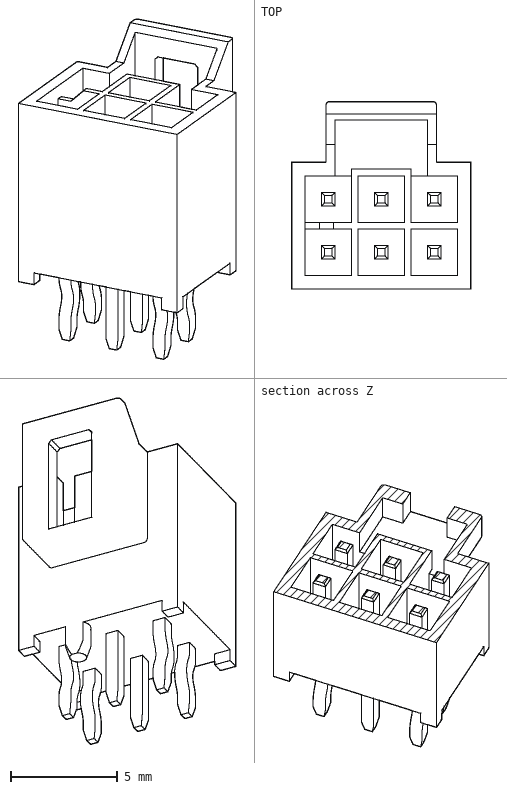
import cadquery as cq
import math


pitch = 2.5
columns = 3
rows = 2
cell_size = 2.18
cell_wall = pitch - cell_size
side_wall = 0.63
end_wall = 0.65

body_width = (columns - 1) * pitch + cell_size + 2 * side_wall
body_depth = (rows - 1) * pitch + cell_size + 2 * end_wall
standoff = 0.6
body_height = 8.46
body_top = standoff + body_height
body_back = body_depth / 2
cell_floor_thickness = 1.0
cell_floor = standoff + cell_floor_thickness
foot_width = 0.82
foot_depth = 0.6

latch_width = 5.22
latch_depth = 2.86
latch_rise = 1.45
latch_top = body_top + latch_rise
latch_clearance = 3.48
latch_bottom = standoff + latch_clearance
latch_lip = 0.58
latch_edge_radius = 0.18
latch_back = body_back + latch_depth
recess_width = 4.36
latch_back_wall = 0.88
recess_floor_thickness = 0.2
recess_floor = latch_bottom + recess_floor_thickness
recess_back = latch_back - latch_back_wall
window_width = 2.28
window_rise = 0.12
window_top = body_top + window_rise
window_corner = 0.15

notch_floor_length = 0.67
notch_slope_length = 0.66
notch_depth = 0.66

pin_size = 0.64
pin_rise = 5.0
pin_top = standoff + pin_rise
pin_bottom = -3.2
upper_tip_size = 0.34
upper_tip_height = 0.2
lower_tip_size = 0.4
lower_tip_height = 0.55
kink_radius = 1.21
kink_offset = 0.29
kink_drop = 1.7
kink_middle = standoff - kink_drop

peg_x = pitch / 2
peg_diameter = 1.2
peg_tip_diameter = 0.8
peg_inset = 0.38
peg_y = body_back - peg_inset
peg_shank_length = 0.99
peg_length = 1.63
peg_shoulder = standoff - peg_shank_length
peg_bottom = standoff - peg_length


def block(x_min, x_max, y_min, y_max, z_min, z_max):
    """Axis-aligned box given by its limits."""
    return cq.Workplane("XY").box(
        x_max - x_min, y_max - y_min, z_max - z_min, centered=False
    ).translate((x_min, y_min, z_min))


def grid_positions():
    """Contact centres as (x, y)."""
    return [
        ((column - (columns - 1) / 2) * pitch, (row - (rows - 1) / 2) * pitch)
        for column in range(columns)
        for row in range(rows)
    ]


def make_housing():
    """Plain block on four corner feet."""
    half_width = body_width / 2
    half_depth = body_depth / 2
    housing = block(-half_width, half_width, -half_depth, half_depth, standoff, body_top)
    feet = (
        cq.Workplane("XY")
        .rect(body_width - foot_width, body_depth - foot_depth, forConstruction=True)
        .vertices()
        .rect(foot_width, foot_depth)
        .extrude(standoff)
    )
    return housing.union(feet)


def make_latch():
    """Solid latch shroud with a raised, sloped top and rounded outer edges."""
    slope_start = latch_back - latch_lip
    side_outline = [
        (0, latch_bottom),
        (latch_back, latch_bottom),
        (latch_back, latch_top),
        (slope_start, latch_top),
        (slope_start - latch_rise, body_top),
        (0, body_top),
    ]
    shroud = cq.Workplane("YZ").polyline(side_outline).close().extrude(latch_width / 2, both=True)
    shroud = shroud.edges("|Z and >Y").fillet(latch_edge_radius)
    return shroud.faces("<Z").edges("not <Y").fillet(latch_edge_radius)


def make_recess():
    """Space behind the contact cells, left around the middle cell's own walls."""
    cell_back = body_back - end_wall
    recess = block(
        -recess_width / 2, recess_width / 2, cell_back, recess_back, recess_floor, latch_top
    )
    middle_half = cell_size / 2 + cell_wall
    middle_cell = block(
        -middle_half, middle_half, 0, cell_back + cell_wall, recess_floor, body_top
    )
    return recess.cut(middle_cell)


def make_window():
    """Opening through the back wall of the latch, with bevelled top corners."""
    window = block(
        -window_width / 2, window_width / 2, recess_back, latch_back, recess_floor, window_top
    )
    return window.edges("|Y and >Z").chamfer(window_corner)


def make_cells():
    """Contact cells, open at the top."""
    return (
        cq.Workplane("XY", origin=(0, 0, cell_floor))
        .pushPoints(grid_positions())
        .rect(cell_size, cell_size)
        .extrude(body_top - cell_floor)
    )


def make_notch():
    """Cut that lowers the wall between the left-hand cells, with a sloped end."""
    wall_start = side_wall - body_width / 2
    floor_end = wall_start + notch_floor_length
    outline = [
        (wall_start, body_top),
        (wall_start, body_top - notch_depth),
        (floor_end, body_top - notch_depth),
        (floor_end + notch_slope_length, body_top),
    ]
    return cq.Workplane("XZ").polyline(outline).close().extrude(cell_wall / 2, both=True)


def make_tip(size, tip_size, height):
    """Square taper of the given height, standing on the XY plane."""
    return (
        cq.Workplane("XY")
        .rect(size, size)
        .workplane(offset=height)
        .rect(tip_size, tip_size)
        .loft(combine=True)
    )


def make_kinked_shank(z_min, z_max):
    """Shank that bows towards +Y through three tangent arcs of equal centreline radius."""
    half_pin = pin_size / 2
    angle = math.acos(1 - kink_offset / (2 * kink_radius))
    half_length = 2 * kink_radius * math.sin(angle)
    peak_centre_y = kink_offset - kink_radius

    def end_arc(side, end, turn):
        radius = kink_radius - side
        y = kink_radius - radius * math.cos(turn)
        return (y, kink_middle + end * (half_length - radius * math.sin(turn)))

    def peak_arc(side, end, turn):
        radius = kink_radius + side
        y = peak_centre_y + radius * math.cos(turn)
        return (y, kink_middle + end * radius * math.sin(turn))

    def add_side(outline, side, end):
        """Trace one face of the bow from the given end (+1 top, -1 bottom) to the other."""
        return (
            outline.lineTo(*end_arc(side, end, 0))
            .threePointArc(end_arc(side, end, angle / 2), end_arc(side, end, angle))
            .threePointArc(peak_arc(side, end, 0), peak_arc(side, -end, angle))
            .threePointArc(end_arc(side, -end, angle / 2), end_arc(side, -end, 0))
        )

    outline = cq.Workplane("YZ").moveTo(-half_pin, z_max)
    outline = add_side(outline, -half_pin, 1)
    outline = outline.lineTo(-half_pin, z_min).lineTo(half_pin, z_min)
    outline = add_side(outline, half_pin, -1)
    outline = outline.lineTo(half_pin, z_max).close()
    return outline.extrude(half_pin, both=True)


def make_pin(kinked):
    """Contact pin on the Z axis, tapered at both ends."""
    half_pin = pin_size / 2
    shank_top = pin_top - upper_tip_height
    shank_bottom = pin_bottom + lower_tip_height
    if kinked:
        shank = make_kinked_shank(shank_bottom, shank_top)
    else:
        shank = block(-half_pin, half_pin, -half_pin, half_pin, shank_bottom, shank_top)
    upper_tip = make_tip(pin_size, upper_tip_size, upper_tip_height)
    lower_tip = make_tip(pin_size, lower_tip_size, lower_tip_height).mirror("XY")
    return shank.union(upper_tip.translate((0, 0, shank_top))).union(
        lower_tip.translate((0, 0, shank_bottom))
    )


def make_peg():
    """Round locating peg with a tapered end."""
    profile = [
        (0, standoff),
        (peg_diameter / 2, standoff),
        (peg_diameter / 2, peg_shoulder),
        (peg_tip_diameter / 2, peg_bottom),
        (0, peg_bottom),
    ]
    peg = cq.Workplane("XZ").polyline(profile).close().revolve(360, (0, 0, 0), (0, 1, 0))
    peg = peg.translate((peg_x, peg_y, 0))
    overhang = block(
        peg_x - peg_diameter, peg_x + peg_diameter,
        body_back, body_back + peg_diameter,
        peg_bottom, standoff,
    )
    return peg.cut(overhang)


result = make_housing().union(make_latch())
for cutter in (make_recess(), make_window(), make_cells(), make_notch()):
    result = result.cut(cutter)
result = result.union(make_peg())

straight_pin = make_pin(kinked=False)
kinked_pin = make_pin(kinked=True)
for x, y in grid_positions():
    pin = straight_pin if x == 0 else kinked_pin
    if y > 0:
        pin = pin.rotate((0, 0, 0), (0, 0, 1), 180)
    result = result.union(pin.translate((x, y, 0)))